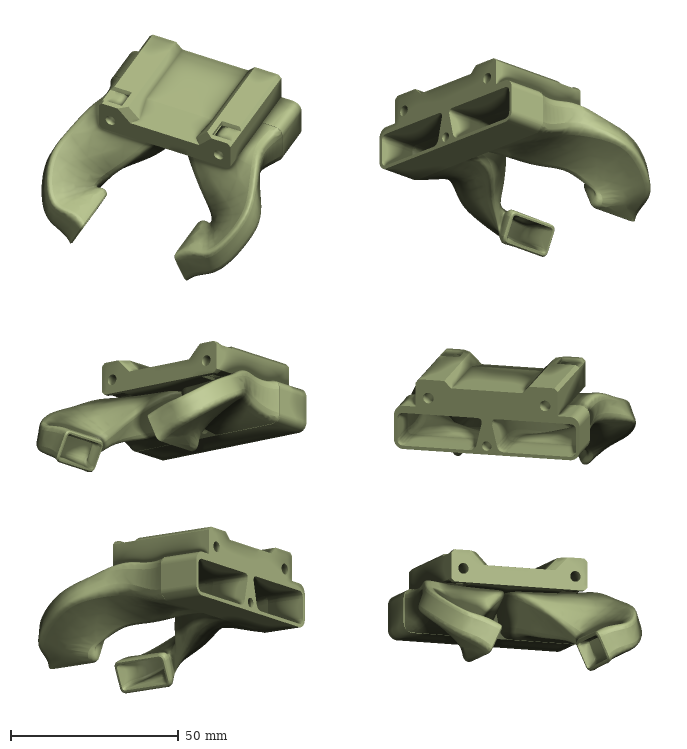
import cadquery as cq
import math


plate_width = 43.7
plate_length = 34.85
plate_height = 9.8
plate_chamfer = 1.05
floor_height = 7.65
ramp_length = 10.0
ramp_drop = 2.0
rail_inner_top = 13.1
flare_length = 2.15
flare_width = 2.5

bore_diameter = 3.3
bore_x = 17.95
bore_z = 4.2
tie_front_gap = 1.7
tie_width = 5.3
tie_mouth_width = 6.8
tie_depth = 1.0
tie_gap = 0.8
tie_inner_x = 14.95

block_half_width = 28.5
block_length = 12.95
block_top = 1.25
block_bottom = -12.2
block_radius = 2.9
pin_hole_diameter = 2.9
pin_hole_z = -9.5

wall = 1.0
inlet_side_wall = 2.8
arm_inset = 0.1
arm_start = 0.35
outlet_chamfer = 0.4
outlet_radius = 2.1
outlet_front = -60.2
outlet_rear = -42.0
outlet_top_x = -14.8
outlet_top_z = -17.1
outlet_height = 10.0
outlet_tilt = 25.5

middle_stations = [
    (2.65, (-27.3, -22.95, 1.25), (-26.8, -22.95, -9.05), (-6.25, -23.65, -13.15), (-0.2, -25.05, 0.35)),
    (2.2, (-29.2, -31.3, 0.55), (-30.1, -31.3, -8.0), (-11.8, -29.9, -14.95), (-5.55, -31.3, -3.8)),
    (1.75, (-31.15, -38.95, -2.6), (-34.4, -38.95, -10.1), (-16.35, -34.4, -16.35), (-11.8, -36.2, -10.1)),
    (1.75, (-32, -46.6, -5.55), (-35.0, -45.9, -13.1), (-18.8, -38.25, -19.1), (-16, -38.6, -13.9)),
    (1.75, (-29.1, -55.15, -10.4), (-31.85, -53.9, -17.95), (-20.5, -41, -21.55), (-18.3, -41, -15.85)),
    (1.95, (-23.3, -59.25, -13.8), (-25.95, -58.7, -22.05), (-21.2, -42.15, -24.2), (-17.75, -42.0, -16)),
]


def inlet_station():
    """The arm starts inside the block and leaves it slightly smaller than the block."""
    outer_x = arm_inset - block_half_width
    y = arm_start - block_length
    top = block_top - arm_inset
    bottom = block_bottom + arm_inset
    return (
        block_radius,
        (outer_x, y, top),
        (outer_x, y, bottom),
        (-inlet_side_wall, y, bottom),
        (0, y, top),
    )


def outlet_station(setback):
    """Outlet outline, moved back into the arm by the setback."""
    tilt = math.radians(outlet_tilt)
    top_x = outlet_top_x - setback * math.cos(tilt)
    top_z = outlet_top_z + setback * math.sin(tilt)
    bottom_x = top_x - outlet_height * math.sin(tilt)
    bottom_z = top_z - outlet_height * math.cos(tilt)
    return (
        outlet_radius,
        (top_x, outlet_front, top_z),
        (bottom_x, outlet_front, bottom_z),
        (bottom_x, outlet_rear, bottom_z),
        (top_x, outlet_rear, top_z),
    )


def both_sides(shape):
    """A shape together with its mirror image across the middle plane."""
    return shape.union(shape.mirror("YZ"))


def channel_outline(y, widening, bottom):
    """Outline of the channel at y, with sides that slope at 45 degrees."""
    top = rail_inner_top + widening
    low = top - (plate_height - bottom)
    return (
        cq.Workplane("XZ", origin=(0, y, 0))
        .polyline([(-low, bottom), (low, bottom), (top, plate_height), (-top, plate_height)])
        .close()
    )


def channel():
    front_floor = floor_height - ramp_drop
    flare_start = flare_length - plate_length
    straight = channel_outline(0, 0, front_floor).extrude(plate_length)
    flare = cq.Workplane(obj=cq.Solid.makeLoft([
        channel_outline(flare_start, 0, front_floor).wires().val(),
        channel_outline(-plate_length, flare_width, front_floor).wires().val(),
    ], True))
    above_floor = (
        cq.Workplane("YZ", origin=(-plate_width / 2, 0, 0))
        .polyline([
            (0, floor_height),
            (ramp_length - plate_length, floor_height),
            (-plate_length, front_floor),
            (-plate_length, plate_height),
            (0, plate_height),
        ])
        .close()
        .extrude(plate_width)
    )
    return straight.union(flare).intersect(above_floor)


def tie_slot():
    """Slot of the left rail that wraps a cable tie around the bore, open to the outside."""
    middle_z = plate_height / 2
    middle_y = tie_front_gap + tie_mouth_width / 2 - plate_length
    inner_radius = middle_z - tie_depth
    outer_radius = inner_radius + tie_gap
    side_length = plate_width / 2 - bore_x
    band = cq.Workplane("XZ", origin=(-bore_x, middle_y + tie_width / 2, middle_z))
    core = band.circle(inner_radius).extrude(tie_width).union(
        band.center(-side_length / 2, 0).rect(side_length, 2 * inner_radius).extrude(tie_width)
    )
    loop = band.circle(outer_radius).extrude(tie_width).union(
        band.center(-side_length / 2, 0).rect(side_length, plate_height).extrude(tie_width)
    )
    mouth_length = plate_width / 2 - tie_inner_x
    mouth = (
        cq.Workplane("YZ", origin=(-plate_width / 2, middle_y, 0))
        .polyline([
            (-tie_mouth_width / 2, plate_height),
            (tie_mouth_width / 2, plate_height),
            (tie_width / 2, plate_height - tie_depth),
            (-tie_width / 2, plate_height - tie_depth),
        ])
        .close()
        .extrude(mouth_length)
    )
    lower_mouth = mouth.mirror("XY", (0, 0, middle_z))
    return loop.cut(core).union(mouth).union(lower_mouth)


def plate_blank():
    return (
        cq.Workplane("XY")
        .box(plate_width, plate_length, plate_height, centered=(True, False, False))
        .translate((0, -plate_length, 0))
        .edges("|Y")
        .chamfer(plate_chamfer)
    )


def mounting_plate():
    bores = (
        cq.Workplane("XZ")
        .pushPoints([(-bore_x, bore_z), (bore_x, bore_z)])
        .circle(bore_diameter / 2)
        .extrude(plate_length)
    )
    return plate_blank().cut(channel()).cut(both_sides(tie_slot())).cut(bores)


def rounded_loop(corners, radius):
    """Closed wire through four corner points, with each corner rounded by a curve."""
    edges = []
    previous_end = None
    first_start = None
    for i, corner in enumerate(corners):
        before = (corners[i - 1] - corner).normalized() * radius
        after = (corners[(i + 1) % len(corners)] - corner).normalized() * radius
        start = corner + before
        end = corner + after
        if previous_end is None:
            first_start = start
        else:
            edges.append(cq.Edge.makeLine(previous_end, start))
        edges.append(cq.Edge.makeBezier([start, corner, end]))
        previous_end = end
    edges.append(cq.Edge.makeLine(previous_end, first_start))
    return cq.Wire.assembleEdges(edges)


def smooth_loft(sections):
    return cq.Workplane(obj=cq.occ_impl.shapes.loft(sections, cap=True))


def arm_section(station, inset=0.0, ceiling=block_top):
    """Closed outline at a station, moved inward by the inset and kept below the ceiling."""
    radius, *points = station
    outer = [cq.Vector(*point) for point in points]
    corners = []
    for i, corner in enumerate(outer):
        before = (outer[i - 1] - corner).normalized()
        after = (outer[(i + 1) % len(outer)] - corner).normalized()
        moved = corner + (before + after) * (inset / before.cross(after).Length)
        corners.append(cq.Vector(moved.x, moved.y, min(moved.z, ceiling)))
    return rounded_loop(corners, radius - inset)


def left_arm():
    """The left arm without its cavity."""
    stations = [inlet_station(), *middle_stations, outlet_station(outlet_chamfer)]
    arm = smooth_loft([arm_section(s) for s in stations])
    chamfered_end = cq.Workplane(obj=cq.Solid.makeLoft([
        arm_section(outlet_station(outlet_chamfer)),
        arm_section(outlet_station(0), outlet_chamfer),
    ], True))
    return arm.union(chamfered_end)


def left_cavity():
    """Air passage from the rear face of the block to the outlet."""
    stations = [inlet_station(), *middle_stations, outlet_station(0)]
    sections = [arm_section(s, wall, -wall) for s in stations]
    passage = smooth_loft(sections)
    inlet_length = block_length - arm_start
    inlet = cq.Workplane(obj=cq.Solid.extrudeLinear(sections[0], [], cq.Vector(0, inlet_length, 0)))
    return passage.union(inlet)


def left_block():
    return (
        cq.Workplane("XZ")
        .center(-block_half_width / 2, (block_top + block_bottom) / 2)
        .rect(block_half_width, block_top - block_bottom)
        .extrude(block_length)
        .edges("|Y and <X")
        .fillet(block_radius)
    )


def duct():
    pin_hole = cq.Workplane("XZ").center(0, pin_hole_z).circle(pin_hole_diameter / 2).extrude(block_length)
    left_half = left_block().union(left_arm()).cut(left_cavity()).cut(plate_blank())
    return both_sides(left_half).cut(pin_hole)


plate = mounting_plate()
ducts = duct()
result = cq.Compound.makeCompound([*plate.solids().vals(), *ducts.solids().vals()])